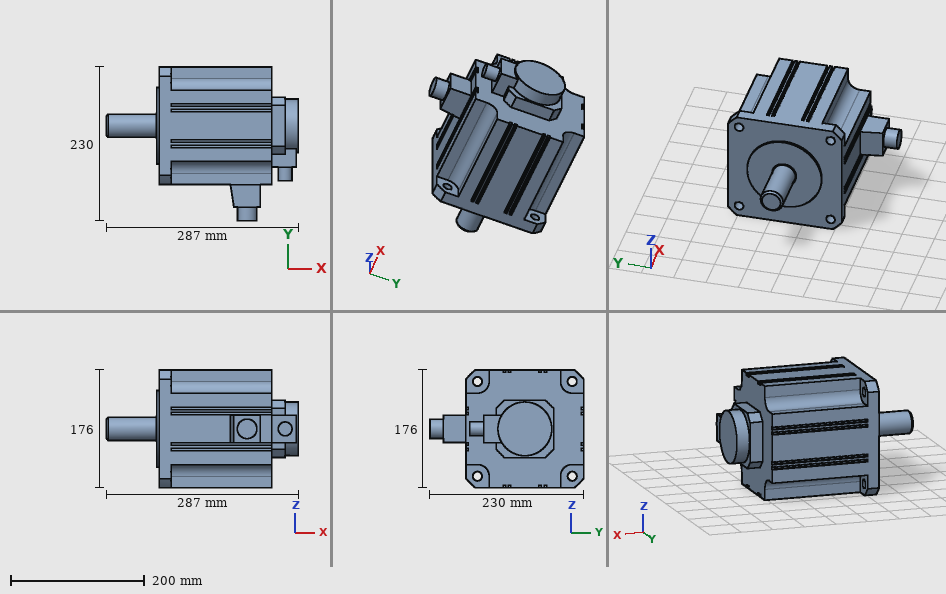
import cadquery as cq


overall_length = 287.0
pilot_face_x = 75.5
flange_face_x = 79.0
flange_thickness = 18.0
body_start_x = flange_face_x + flange_thickness
body_end_x = 247.5
cap_base_end_x = 267.2

shaft_radius = 17.5
shaft_chamfer = 3.2
collar_radius = 18.7
collar_length = 1.0

square_side = 176.0
half_side = square_side / 2
flange_corner_radius = 115.0
pilot_radius = 57.5
bolt_spacing = 141.5
bolt_offset = bolt_spacing / 2
bolt_hole_diameter = 13.5

recess_radius = 17.5
groove_width = 3.7
groove_depth = 3.7
groove_offsets = (23.0, 30.7)

cap_base_side = 85.5
cap_base_chamfer = 12.0
cap_radius = 40.2

connector_width = 41.0
power_front_x = 185.5
power_tip_front_x = 190.5
power_back_x = 230.2
power_height = 33.5
power_tip_y = -half_side - power_height
power_plug_radius = 14.5
power_plug_length = 20.5

signal_back_x = 283.8
signal_tip_y = -61.7
signal_plug_x = cap_base_end_x
signal_plug_radius = 10.3
signal_plug_length = 20.5


def square_block(side, start_x, end_x):
    """Square bar along X, centred on the shaft axis."""
    return cq.Workplane("YZ", origin=(start_x, 0, 0)).rect(side, side).extrude(end_x - start_x)


def disc(radius, start_x, end_x):
    """Cylinder along X on the shaft axis."""
    return cq.Workplane("YZ", origin=(start_x, 0, 0)).circle(radius).extrude(end_x - start_x)


def make_flange():
    """Square plate with its corners turned to a circle, a front pilot and four bolt holes."""
    plate = square_block(square_side, flange_face_x, body_start_x)
    plate = plate.intersect(disc(flange_corner_radius, flange_face_x, body_start_x))
    holes = (
        cq.Workplane("YZ", origin=(flange_face_x, 0, 0))
        .rect(bolt_spacing, bolt_spacing, forConstruction=True)
        .vertices()
        .circle(bolt_hole_diameter / 2)
        .extrude(flange_thickness)
    )
    return plate.cut(holes).union(disc(pilot_radius, pilot_face_x, flange_face_x))


def corner_recess():
    """Cutter for the +Y +Z corner: two flat walls joined by an arc around the bolt axis."""
    wall = bolt_offset - recess_radius
    arc_middle = bolt_offset - recess_radius * 0.5 ** 0.5
    return (
        cq.Workplane("YZ", origin=(body_start_x, 0, 0))
        .moveTo(half_side, wall)
        .lineTo(bolt_offset, wall)
        .threePointArc((arc_middle, arc_middle), (wall, bolt_offset))
        .lineTo(wall, half_side)
        .lineTo(half_side, half_side)
        .close()
        .extrude(body_end_x - body_start_x)
    )


def side_grooves():
    """Cutter for the mirrored pairs of grooves on the +Z side."""
    centres = [(sign * offset, half_side - groove_depth / 2) for sign in (-1, 1) for offset in groove_offsets]
    return (
        cq.Workplane("YZ", origin=(body_start_x, 0, 0))
        .pushPoints(centres)
        .rect(groove_width, groove_depth)
        .extrude(body_end_x - body_start_x)
    )


def make_body():
    """Square body with the same recess and grooves on each quarter turn."""
    body = square_block(square_side, body_start_x, body_end_x)
    for angle in (0, 90, 180, 270):
        for cutter in (corner_recess(), side_grooves()):
            body = body.cut(cutter.rotate((0, 0, 0), (1, 0, 0), angle))
    return body


def make_end_cap():
    """Square base with chamfered corners, carrying a round cover."""
    base = square_block(cap_base_side, body_end_x, cap_base_end_x).edges("|X").chamfer(cap_base_chamfer)
    return base.union(disc(cap_radius, cap_base_end_x, overall_length))


def connector_plug(centre_x, base_y, radius, length):
    """Round plug pointing towards -Y."""
    return cq.Workplane("XZ", origin=(centre_x, base_y, 0)).circle(radius).extrude(length)


def make_power_connector():
    """Block with a sloping front, tipped by a plug centred on its end face."""
    outline = [
        (power_front_x, -half_side),
        (power_tip_front_x, power_tip_y),
        (power_back_x, power_tip_y),
        (power_back_x, -half_side),
    ]
    block = cq.Workplane("XY").polyline(outline).close().extrude(connector_width / 2, both=True)
    plug_x = (power_tip_front_x + power_back_x) / 2
    return block.union(connector_plug(plug_x, power_tip_y, power_plug_radius, power_plug_length))


def make_signal_connector():
    """Rectangular block reaching in to the shaft axis inside the cap, tipped by a plug."""
    block = cq.Workplane("XY").box(
        signal_back_x - body_end_x, -signal_tip_y, connector_width, centered=(False, False, True)
    )
    block = block.translate((body_end_x, signal_tip_y, 0))
    return block.union(connector_plug(signal_plug_x, signal_tip_y, signal_plug_radius, signal_plug_length))


def make_housing():
    housing = make_flange().union(make_body()).union(make_end_cap())
    return housing.union(make_power_connector()).union(make_signal_connector())


def make_shaft():
    """Chamfered shaft whose collar seats on the pilot face."""
    shaft = disc(shaft_radius, 0, pilot_face_x).faces("<X").chamfer(shaft_chamfer)
    return shaft.union(disc(collar_radius, pilot_face_x - collar_length, pilot_face_x))


housing = make_housing()
shaft = make_shaft()

result = cq.Compound.makeCompound([housing.solids().val(), shaft.solids().val()])